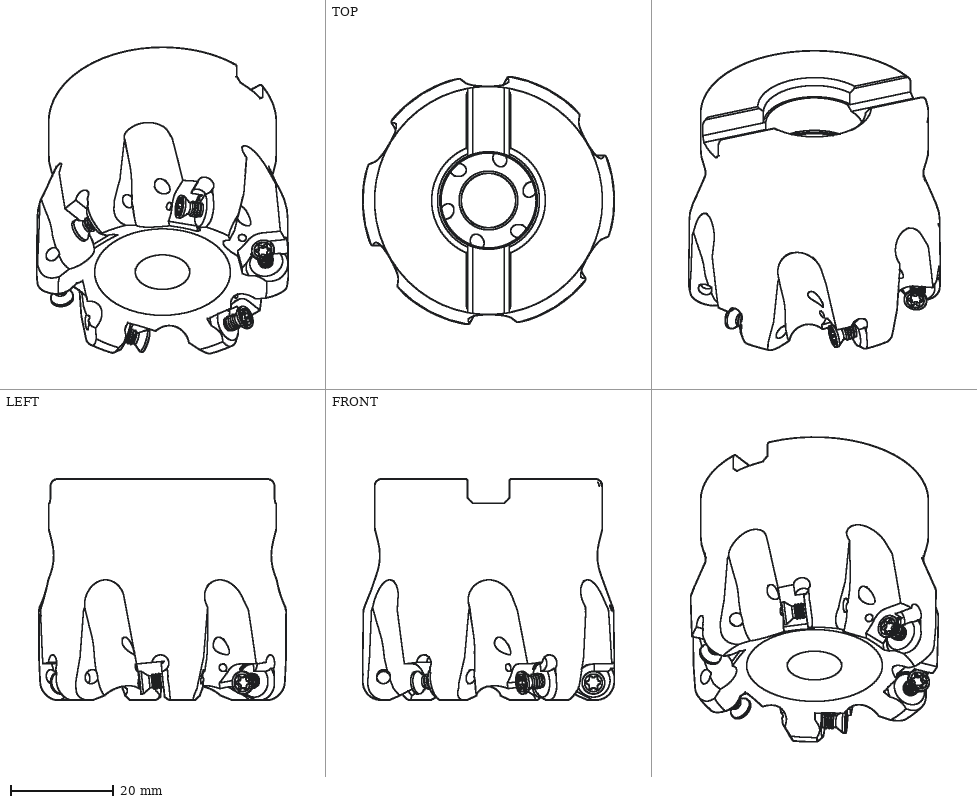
import cadquery as cq
import math

HEIGHT = 43.25
TOOTH_COUNT = 6
TOOTH_PITCH = 360.0 / TOOTH_COUNT

CUTTER_D = 49.2
CUTTER_R = CUTTER_D / 2
CORNER_R = 3.6
COLLAR_R = 22.25
COLLAR_ROUND = 1.45
COLLAR_BOTTOM_Z = 33.6
COLLAR_EDGE_MID = (22.2, 33.23)
COLLAR_EDGE_END = (22.1, 32.9)
NECK_R = 21.3
NECK_Z = 28.1
NECK_TOP = (21.65, 30.9)
NECK_END = (21.9, 24.6)
SHOULDER_TOP = (24.15, 18.55)
SHOULDER_MID = (24.35, 18.05)
SHOULDER_BOTTOM = (24.5, 17.45)
WIDEST_Z = 7.35

DISH_R = 20.4
DISH_INNER_R = 13.25
DISH_DEPTH = 3.9

BORE_R = 5.3
BORE_CHAMFER = 0.45
SOCKET_R = 9.55
SOCKET_FLOOR_Z = 25.55
SOCKET_GROOVE_R = 9.85
SOCKET_GROOVE_TOP_Z = HEIGHT - 11.1
SOCKET_GROOVE_HEIGHT = 0.6
SOCKET_BOTTOM_R = 9.3
SOCKET_MOUTH_R = 10.0
SOCKET_MOUTH_DEPTH = 3.7
SOCKET_CHAMFER = 1.15

SLOT_WIDTH = 8.1
SLOT_DEPTH = 4.75
SLOT_CHAMFER = 1.0
SLOT_EDGE_CHAMFER = 0.3

FLUTE_R = 4.05
FLUTE_TILT = 10.6
FLUTE_AXIS_X = 20.05
FLUTE_BEND_Z = 13.75
FLUTE_BEND_Y = -10.4
FLUTE_BEND_ANGLE = 28.0
FLUTE_BEND_R = 12.3
FLUTE_SLANT = 1.45
FLUTE_RETURN_R = 4.9
FLUTE_STRAIGHT = 5.9
FLUTE_REACH = 22.1

BACK_X = 23.1
BACK_ANGLE = -12.4
BACK_PIVOT_Y = 8.05
BACK_PROFILE = [(4.5, -1.95), (6.9, 2.35), (8.05, 8.35), (8.9, 20.65)]
BACK_INNER_X = 16.2
BACK_DEPTH = 3.45

SCREW_X = 20.5
SCREW_HEAD_Y = -4.4
SCREW_HEAD_Z = 3.4
SCREW_RISE = 5.6
SEAT_DEPTH = 4.5
SEAT_R = 3.25
SEAT_BEVEL_SLOPE = 1.2
SEAT_BEVEL_DEPTH = 1.1
POCKET_OPENING = 6.9
POCKET_R = 3.75
POCKET_FRONT = 3.95
POCKET_INNER = 4.9
NOTCH_R = 0.75
NOTCH_INWARD = 3.95
NOTCH_UP = 3.0
RELIEF_R = 1.6
RELIEF_Y = -0.4
RELIEF_Z = 7.23
RELIEF_X = 20.65

SCREW_LENGTH = 9.35
SCREW_HOLE_LENGTH = 15.75
HEAD_R = 2.2
HEAD_RIM = 0.5
HEAD_LENGTH = 1.85
SHANK_R = 1.35
NECK_SHANK_R = 1.2
THREAD_START = 2.35
THREAD_PITCH = 0.6
THREAD_CREST_R = 1.45
THREAD_RIDGES = 3
DRIVE_RING_R = 1.7
DRIVE_RING_DEPTH = 0.15
DRIVE_CORE_R = 1.05
DRIVE_LOBE_R = 0.35
DRIVE_LOBES = 6
DRIVE_DEPTH = 1.0

COOLANT_R = 1.3
COOLANT_START = (-2.2, -8.1, SOCKET_FLOOR_Z)
COOLANT_END = (2.9, -18.45, 9.85)
COOLANT_OVERRUN = 1.95


def around(shape, index):
    """Turn a shape from the first tooth to the tooth with this index."""
    return shape.rotate((0, 0, 0), (0, 0, 1), index * TOOTH_PITCH)


def cylinder(start, direction, radius, length):
    return cq.Workplane(cq.Solid.makeCylinder(radius, length, cq.Vector(*start), cq.Vector(*direction)))


def ball(center, radius):
    return cq.Workplane("XY").sphere(radius).translate(center)


def screw_plane(distance=0.0):
    """Plane square to the screw axis, this far behind the face of the screw head."""
    rise = math.radians(SCREW_RISE)
    axis = cq.Vector(0, math.cos(rise), math.sin(rise))
    origin = cq.Vector(SCREW_X, SCREW_HEAD_Y, SCREW_HEAD_Z) + axis * distance
    return cq.Plane(origin=origin, xDir=(1, 0, 0), normal=axis)


def about_screw_axis(profile):
    """Revolve (radius, distance behind the head face) points about the screw axis."""
    rotated = cq.Workplane("XZ").polyline(profile).close().revolve(360, (0, 0, 0), (0, 1, 0))
    return cq.Workplane(rotated.val().moved(cq.Location(screw_plane())))


def turned_blank():
    corner_mid = CORNER_R * math.sqrt(0.5)
    corner_x = CUTTER_R - CORNER_R
    rim_mid = COLLAR_ROUND * math.sqrt(0.5)
    rim_r = COLLAR_R - COLLAR_ROUND
    rim_z = HEIGHT - COLLAR_ROUND
    groove_bottom_z = SOCKET_GROOVE_TOP_Z - SOCKET_GROOVE_HEIGHT
    return (
        cq.Workplane("XZ")
        .moveTo(BORE_R, DISH_DEPTH)
        .lineTo(DISH_INNER_R, DISH_DEPTH)
        .lineTo(DISH_R, 0)
        .lineTo(corner_x, 0)
        .threePointArc((corner_x + corner_mid, CORNER_R - corner_mid), (CUTTER_R, CORNER_R))
        .lineTo(CUTTER_R, WIDEST_Z)
        .lineTo(*SHOULDER_BOTTOM)
        .threePointArc(SHOULDER_MID, SHOULDER_TOP)
        .lineTo(*NECK_END)
        .threePointArc((NECK_R, NECK_Z), NECK_TOP)
        .lineTo(*COLLAR_EDGE_END)
        .threePointArc(COLLAR_EDGE_MID, (COLLAR_R, COLLAR_BOTTOM_Z))
        .lineTo(COLLAR_R, rim_z)
        .threePointArc((rim_r + rim_mid, rim_z + rim_mid), (rim_r, HEIGHT))
        .lineTo(SOCKET_MOUTH_R + SOCKET_CHAMFER, HEIGHT)
        .lineTo(SOCKET_MOUTH_R, HEIGHT - SOCKET_CHAMFER)
        .lineTo(SOCKET_MOUTH_R, HEIGHT - SOCKET_MOUTH_DEPTH)
        .lineTo(SOCKET_R, HEIGHT - SOCKET_MOUTH_DEPTH)
        .lineTo(SOCKET_R, SOCKET_GROOVE_TOP_Z)
        .lineTo(SOCKET_GROOVE_R, SOCKET_GROOVE_TOP_Z)
        .lineTo(SOCKET_GROOVE_R, groove_bottom_z)
        .lineTo(SOCKET_BOTTOM_R, groove_bottom_z)
        .lineTo(SOCKET_BOTTOM_R, SOCKET_FLOOR_Z)
        .lineTo(BORE_R + BORE_CHAMFER, SOCKET_FLOOR_Z)
        .lineTo(BORE_R, SOCKET_FLOOR_Z - BORE_CHAMFER)
        .close()
        .revolve(360, (0, 0, 0), (0, 1, 0))
    )


def driving_slot():
    half = SLOT_WIDTH / 2
    floor_z = HEIGHT - SLOT_DEPTH
    right = [
        (half - SLOT_CHAMFER, floor_z),
        (half, floor_z + SLOT_CHAMFER),
        (half, HEIGHT - SLOT_EDGE_CHAMFER),
        (half + SLOT_EDGE_CHAMFER, HEIGHT),
    ]
    left = [(-x, z) for x, z in reversed(right)]
    return cq.Workplane("XZ").polyline(right + left).close().extrude(CUTTER_R, both=True)


def flute_axis():
    """Axis of the flute floor: straight down, inwards in an S, then straight down again."""
    bend = math.radians(FLUTE_BEND_ANGLE)
    bend_end_x = -FLUTE_BEND_R * (1 - math.cos(bend))
    bend_end_z = -FLUTE_BEND_R * math.sin(bend)
    slant_end_x = bend_end_x - FLUTE_SLANT * math.sin(bend)
    slant_end_z = bend_end_z - FLUTE_SLANT * math.cos(bend)
    return_x = slant_end_x - FLUTE_RETURN_R * (1 - math.cos(bend))
    return_z = slant_end_z - FLUTE_RETURN_R * math.sin(bend)
    return (
        cq.Workplane("XZ")
        .moveTo(0, FLUTE_STRAIGHT)
        .lineTo(0, 0)
        .tangentArcPoint((bend_end_x, bend_end_z), relative=False)
        .lineTo(slant_end_x, slant_end_z)
        .tangentArcPoint((return_x, return_z), relative=False)
        .lineTo(return_x, -FLUTE_REACH)
    )


def flute():
    """Round-bottomed groove in front of the tooth, open outwards and downwards."""
    floor = cq.Workplane("XY", origin=(0, 0, FLUTE_STRAIGHT)).circle(FLUTE_R).sweep(flute_axis())
    opening = (
        flute_axis()
        .lineTo(FLUTE_REACH, -FLUTE_REACH)
        .lineTo(FLUTE_REACH, FLUTE_STRAIGHT)
        .close()
        .extrude(FLUTE_R, both=True)
    )
    top = (0, 0, FLUTE_STRAIGHT)
    groove = (
        opening
        .union(floor)
        .union(ball(top, FLUTE_R))
        .union(cylinder(top, (1, 0, 0), FLUTE_R, FLUTE_REACH))
    )
    tilted = groove.rotate((0, 0, 0), (1, 0, 0), FLUTE_TILT)
    return tilted.translate((FLUTE_AXIS_X, FLUTE_BEND_Y, FLUTE_BEND_Z))


def tooth_back():
    """Space behind the flat back of the tooth."""
    (_, low_z), *_, (high_y, high_z) = BACK_PROFILE
    far_y = high_y + BACK_DEPTH
    outline = BACK_PROFILE + [(far_y, high_z), (far_y, low_z)]
    wedge = cq.Workplane("YZ", origin=(BACK_INNER_X, 0, 0)).polyline(outline).close().extrude(CUTTER_R / 2)
    pivot = (BACK_X, BACK_PIVOT_Y, 0)
    return wedge.rotate(pivot, (pivot[0], pivot[1], 1), BACK_ANGLE)


def insert_pocket():
    """Round recess for an insert, open downwards, with a bevel that falls away around its seat."""
    corner = POCKET_R * math.sqrt(0.5)
    flare = POCKET_OPENING - SEAT_R
    recess = cq.Workplane(screw_plane(-POCKET_FRONT)).circle(POCKET_R).extrude(POCKET_FRONT + SEAT_DEPTH)
    seat_cone = about_screw_axis([
        (0, -POCKET_FRONT),
        (POCKET_OPENING, -POCKET_FRONT),
        (POCKET_OPENING, SEAT_DEPTH + flare * SEAT_BEVEL_SLOPE),
        (SEAT_R, SEAT_DEPTH),
        (0, SEAT_DEPTH),
    ])
    open_side = (
        cq.Workplane(screw_plane(-POCKET_FRONT))
        .polyline([
            (0, -POCKET_R),
            (POCKET_OPENING, -POCKET_R),
            (POCKET_OPENING, POCKET_OPENING),
            (-POCKET_INNER, POCKET_OPENING),
            (-POCKET_INNER, 0),
            (-corner, -corner),
        ])
        .close()
        .extrude(POCKET_FRONT + SEAT_DEPTH + SEAT_BEVEL_DEPTH)
        .intersect(seat_cone)
    )
    corner_notch = (
        cq.Workplane(screw_plane(-POCKET_FRONT))
        .center(-NOTCH_INWARD, -NOTCH_UP)
        .circle(NOTCH_R)
        .extrude(POCKET_FRONT + SEAT_DEPTH)
    )
    return recess.union(open_side).union(corner_notch)


def seat_relief():
    return cylinder((RELIEF_X, RELIEF_Y, RELIEF_Z), (1, 0, 0), RELIEF_R, CUTTER_R - RELIEF_X + 0.5)


def screw_hole():
    return cq.Workplane(screw_plane()).circle(SHANK_R).extrude(SCREW_HOLE_LENGTH)


def coolant_hole():
    start = cq.Vector(*COOLANT_START)
    run = cq.Vector(*COOLANT_END) - start
    direction = run.normalized()
    length = run.Length + 2 * COOLANT_OVERRUN
    return cylinder((start - direction * COOLANT_OVERRUN).toTuple(), direction.toTuple(), COOLANT_R, length)


def make_body():
    body = turned_blank().cut(driving_slot())
    features = [flute(), tooth_back(), insert_pocket(), seat_relief(), screw_hole(), coolant_hole()]
    for index in range(TOOTH_COUNT):
        for feature in features:
            body = body.cut(around(feature, index))
    return body


def make_screw():
    profile = [(0, 0), (HEAD_R, 0), (HEAD_R, HEAD_RIM), (NECK_SHANK_R, HEAD_LENGTH), (NECK_SHANK_R, THREAD_START)]
    for ridge in range(THREAD_RIDGES):
        ridge_start = THREAD_START + ridge * THREAD_PITCH
        profile.append((THREAD_CREST_R, ridge_start + THREAD_PITCH / 2))
        profile.append((NECK_SHANK_R, ridge_start + THREAD_PITCH))
    thread_end = profile[-1][1]
    profile += [(SHANK_R, thread_end), (SHANK_R, SCREW_LENGTH), (0, SCREW_LENGTH)]
    screw = about_screw_axis(profile)
    ring = cq.Workplane(screw_plane()).circle(DRIVE_RING_R).extrude(DRIVE_RING_DEPTH)
    drive = cq.Workplane(screw_plane()).circle(DRIVE_CORE_R).extrude(DRIVE_DEPTH)
    lobes = (
        cq.Workplane(screw_plane())
        .polarArray(DRIVE_CORE_R, 0, 360, DRIVE_LOBES)
        .circle(DRIVE_LOBE_R)
        .extrude(DRIVE_DEPTH)
    )
    return screw.cut(ring).cut(drive).cut(lobes)


body = make_body()
first_screw = make_screw()
screws = [around(first_screw, index) for index in range(TOOTH_COUNT)]

result = cq.Compound.makeCompound([body.val(), *[screw.val() for screw in screws]])